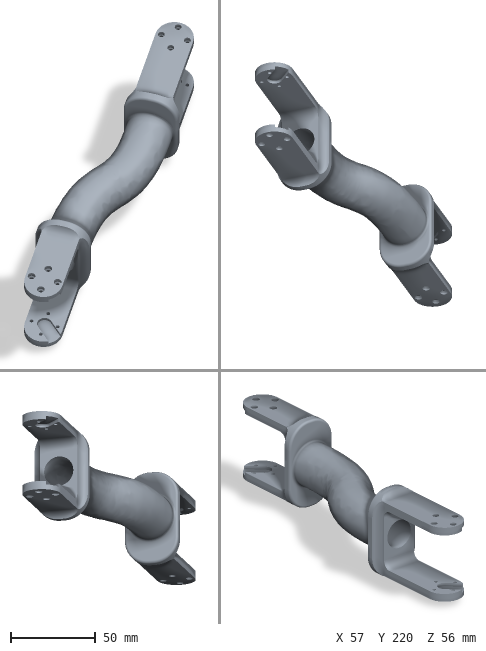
import cadquery as cq
import math

TUBE_SPAN = 100.0
SIDE_OFFSET = 24.0

TUBE_OUTER_D = 28.0
TUBE_BORE_D = 18.0
REAR_NECK = 5.0
REAR_BEND_REACH = 56.0
FRONT_BEND_REACH = 64.0
TUBE_ROOT_FILLET = 1.2
FRONT_NECK = TUBE_ROOT_FILLET

FLANGE_WIDTH = 33.0
FLANGE_HEIGHT = 56.0
FLANGE_CORNER_R = 15.0
FLANGE_THICKNESS = 5.0
FLANGE_EDGE_ROUND = 1.5

FORK_WIDTH = 23.0
FORK_HEIGHT = 48.0
ARM_THICKNESS = 5.0
FLARE_R = 5.0
ARM_END_R = FORK_WIDTH / 2
REAR_FORK_LENGTH = 63.5
FRONT_FORK_LENGTH = 56.5
INNER_FILLET = 5.0
REAR_PIVOT_SETBACK = 11.5
FRONT_PIVOT_SETBACK = 13.5

SCREW_CIRCLE_R = 8.0
SCREW_COUNT = 4
SCREW_D = 2.2
REAR_SCREW_HEAD_D = 4.0
FRONT_SCREW_HEAD_D = 4.5
SCREW_HEAD_DEPTH = 2.5
SLOT_WIDTH = 8.8
SLOT_DEPTH = 2.0
SLOT_ANGLE = -45.0

WEB_DEPTH = FLANGE_THICKNESS + FLARE_R
GAP_HEIGHT = FORK_HEIGHT - 2 * ARM_THICKNESS



def flange_outline(depth):
    """Rounded-rectangle prism from y = 0 to y = -depth."""
    return (
        cq.Workplane("XZ")
        .rect(FLANGE_WIDTH, FLANGE_HEIGHT)
        .extrude(depth)
        .edges("|Y")
        .fillet(FLANGE_CORNER_R)
    )


def quarter_arc_inset(radius):
    """Distance along each axis from a quarter arc's enclosing square to the arc's midpoint."""
    return radius * (1 - math.sqrt(0.5))


def flared_slab(plane, half_size, thickness):
    """Slab of the web whose two sides sweep outward by a quarter circle to the flange.

    The profile's first axis is the flaring direction and its second axis is Y.
    """
    inset = quarter_arc_inset(FLARE_R)
    wide = half_size + FLARE_R
    return (
        cq.Workplane(plane)
        .moveTo(-wide, -FLANGE_THICKNESS)
        .threePointArc((-half_size - inset, -FLANGE_THICKNESS - inset), (-half_size, -WEB_DEPTH))
        .lineTo(half_size, -WEB_DEPTH)
        .threePointArc((half_size + inset, -FLANGE_THICKNESS - inset), (wide, -FLANGE_THICKNESS))
        .close()
        .extrude(thickness / 2, both=True)
    )


def web_and_flange():
    flange = flange_outline(FLANGE_THICKNESS).faces(">Y").edges().fillet(FLANGE_EDGE_ROUND)
    side_flare = flared_slab("XY", FORK_WIDTH / 2, 2 * FLANGE_HEIGHT)
    end_flare = flared_slab(cq.Plane((0, 0, 0), (0, 0, 1), (-1, 0, 0)), FORK_HEIGHT / 2, 2 * FLANGE_WIDTH)
    flare = side_flare.intersect(end_flare).intersect(flange_outline(WEB_DEPTH))
    return flange.union(flare)


def arms(length):
    """Two round-ended arms joined by filleted inner corners."""
    straight_end = -(length - ARM_END_R)
    plan = (
        cq.Workplane("XY")
        .workplane(offset=-FORK_HEIGHT / 2)
        .moveTo(-ARM_END_R, -FLANGE_THICKNESS)
        .lineTo(-ARM_END_R, straight_end)
        .threePointArc((0, -length), (ARM_END_R, straight_end))
        .lineTo(ARM_END_R, -FLANGE_THICKNESS)
        .close()
        .extrude(FORK_HEIGHT)
    )
    gap = (
        cq.Workplane("XY")
        .box(FORK_WIDTH, length, GAP_HEIGHT)
        .edges(">Y and |X")
        .fillet(INNER_FILLET)
        .translate((0, -WEB_DEPTH - length / 2, 0))
    )
    return plan.cut(gap)


def neck(length):
    """Straight start of the tube, toward +Y, with a concave fillet at the flange face."""
    r = TUBE_OUTER_D / 2
    f = TUBE_ROOT_FILLET
    inset = quarter_arc_inset(f)
    fillet_ring = (
        cq.Workplane("XY")
        .lineTo(r + f, 0)
        .threePointArc((r + inset, inset), (r, f))
        .lineTo(0, f)
        .close()
        .revolve(360, (0, 0, 0), (0, 1, 0))
    )
    return cq.Workplane("XZ").circle(r).extrude(-length).union(fillet_ring)


def screw_holes(pivot_y, head_d):
    """Counterbored holes through both arms, with the heads on the outer faces."""
    pattern = cq.Workplane("XY").polarArray(SCREW_CIRCLE_R, 0, 360, SCREW_COUNT)
    cutter = pattern.circle(SCREW_D / 2).extrude(FORK_HEIGHT / 2, both=True)
    head = pattern.circle(head_d / 2).extrude(SCREW_HEAD_DEPTH)
    cutter = cutter.union(head.translate((0, 0, FORK_HEIGHT / 2 - SCREW_HEAD_DEPTH)))
    cutter = cutter.union(head.translate((0, 0, -FORK_HEIGHT / 2)))
    return cutter.translate((0, pivot_y, 0))


def arm_slots(pivot_y):
    """Round-ended slots in the arms' inner faces, centred on the pivot and open at the tip."""
    slot_height = GAP_HEIGHT + 2 * SLOT_DEPTH
    round_end = cq.Workplane("XY").circle(SLOT_WIDTH / 2).extrude(slot_height / 2, both=True)
    run = cq.Workplane("XY").box(FORK_WIDTH, SLOT_WIDTH, slot_height).translate((FORK_WIDTH / 2, 0, 0))
    slot = round_end.union(run).rotate((0, 0, 0), (0, 0, 1), SLOT_ANGLE)
    return slot.translate((0, pivot_y, 0))


def fork(length, pivot_setback, head_d, neck_length):
    pivot_y = pivot_setback - length
    body = web_and_flange().union(arms(length)).union(neck(neck_length))
    bore_length = WEB_DEPTH + neck_length
    bore = cq.Workplane("XZ", origin=(0, neck_length, 0)).circle(TUBE_BORE_D / 2).extrude(bore_length)
    body = body.cut(bore)
    return body.cut(screw_holes(pivot_y, head_d)).cut(arm_slots(pivot_y))


def bend():
    """Hollow S-bend from the rear neck to the front neck, swept along a cubic Bezier."""
    x = SIDE_OFFSET / 2
    start_y = TUBE_SPAN / 2 - REAR_NECK
    end_y = -TUBE_SPAN / 2 + FRONT_NECK
    centre_line = cq.Workplane("XY").bezier(
        [(x, start_y), (x, start_y - REAR_BEND_REACH), (-x, end_y + FRONT_BEND_REACH), (-x, end_y)]
    )
    start = cq.Plane((x, start_y, 0), (0, 0, 1), (0, -1, 0))
    ring = cq.Workplane(start).circle(TUBE_OUTER_D / 2).circle(TUBE_BORE_D / 2)
    return ring.sweep(centre_line)


def place_front(shape):
    return shape.translate((-SIDE_OFFSET / 2, -TUBE_SPAN / 2, 0))


def place_rear(shape):
    return shape.rotate((0, 0, 0), (0, 0, 1), 180).translate((SIDE_OFFSET / 2, TUBE_SPAN / 2, 0))


front_fork = fork(FRONT_FORK_LENGTH, FRONT_PIVOT_SETBACK, FRONT_SCREW_HEAD_D, FRONT_NECK)
rear_fork = fork(REAR_FORK_LENGTH, REAR_PIVOT_SETBACK, REAR_SCREW_HEAD_D, REAR_NECK)

result = bend().union(place_front(front_fork)).union(place_rear(rear_fork))